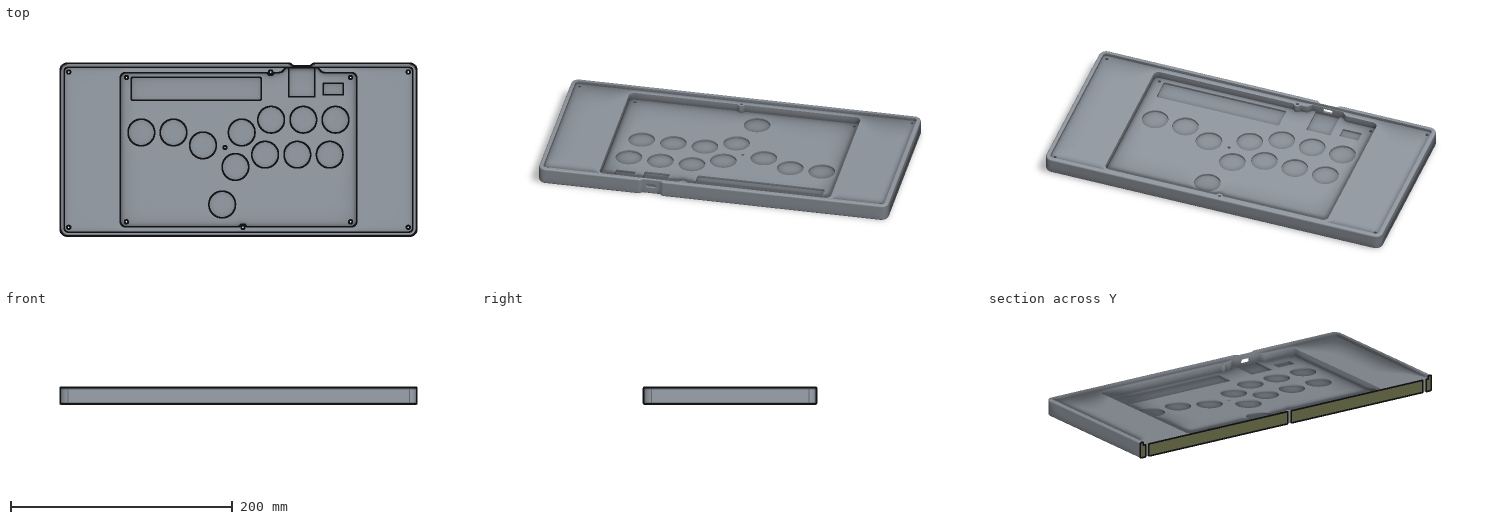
import cadquery as cq
import math

LENGTH = 321.58
WIDTH = 156.0
HEIGHT = 15.1
CORNER_RADIUS = 7.0
EDGE_RADIUS = 1.4

RIM_WIDTH = 3.79
COVER_DEPTH = 3.0
COVER_CORNER_RADIUS = CORNER_RADIUS - RIM_WIDTH

BOARD_LENGTH = 213.0
BOARD_WIDTH = 139.0
BOARD_DEPTH = 7.1
BOARD_CORNER_RADIUS = 5.0

RECESS_DEPTH = 2.0
BUTTON_DIAMETER = 24.0
BUTTON_CENTERS = [
    (-87.6, 15.5),
    (-58.6, 15.5),
    (-32.0, 3.9),
    (-14.7, -49.4),
    (-2.8, -15.6),
    (2.9, 15.5),
    (29.4, 27.0),
    (58.4, 27.0),
    (87.4, 27.0),
    (24.0, -4.5),
    (53.0, -4.5),
    (82.2, -4.5),
]
DISPLAY_SIZE = (117.0, 21.0)
DISPLAY_CENTER = (-38.1, 54.9)
DISPLAY_CORNER_RADIUS = 1.5
SWITCH_SIZE = (18.0, 10.2)
SWITCH_CENTER = (85.5, 54.6)
SWITCH_CORNER_RADIUS = 0.5

CONNECTOR_X = 57.0
CONNECTOR_WALL = 1.3
CONNECTOR_LEDGE = 0.5
BAY_LENGTH = 29.5
BAY_FLARE = 3.5
BAY_CORNER_RADIUS = 5.0
CONNECTOR_RECESS_LENGTH = 23.0
CONNECTOR_RECESS_FRONT_Y = 47.5
NOTCH_OUTER_LENGTH = 22.0
NOTCH_FLARE = 3.5
SLOT_LENGTH = 9.5
SLOT_HEIGHT = 4.0
SLOT_ABOVE_BOARD_FLOOR = 3.3

HOLE_DIAMETER = 3.0
COVER_HOLE_X = 153.0
BOARD_HOLE_X = 101.0
COVER_HOLE_Y = 70.0
BOARD_HOLE_Y = 65.0
CENTER_HOLE = (-12.2, 2.0)
EDGE_HOLES = [(29.0, COVER_HOLE_Y), (4.0, -COVER_HOLE_Y)]
BOSS_RADIUS = 3.0
BOSS_BLEND_RADIUS = 1.5

CORNER_SEARCH_MARGIN = 0.1

SHELF_Z = HEIGHT - COVER_DEPTH
BOARD_FLOOR_Z = SHELF_Z - BOARD_DEPTH
RECESS_FLOOR_Z = BOARD_FLOOR_Z - RECESS_DEPTH
BACK_Y = WIDTH / 2
BOARD_BACK_Y = BOARD_WIDTH / 2
RIM_INNER_Y = BACK_Y - RIM_WIDTH
NOTCH_FLOOR_Y = RIM_INNER_Y + CONNECTOR_WALL
BAY_BACK_Y = RIM_INNER_Y - CONNECTOR_LEDGE


def rounded_block(size, center, bottom_z, top_z, radius):
    """Upright block with rounded vertical edges."""
    return (
        cq.Workplane("XY", origin=(center[0], center[1], bottom_z))
        .rect(size[0], size[1])
        .extrude(top_z - bottom_z)
        .edges("|Z")
        .fillet(radius)
    )


def cylinders(centers, radius, bottom_z, top_z):
    """Upright cylinders of one size at the given centers."""
    return (
        cq.Workplane("XY", origin=(0, 0, bottom_z))
        .pushPoints(centers)
        .circle(radius)
        .extrude(top_z - bottom_z)
    )


def trapezoid(narrow, flare, narrow_y, wide_y, bottom_z, top_z):
    """Upright prism centered on the connector, widening by flare on both sides toward wide_y."""
    half_narrow = narrow / 2
    half_wide = half_narrow + flare
    return (
        cq.Workplane("XY", origin=(CONNECTOR_X, 0, bottom_z))
        .moveTo(-half_narrow, narrow_y)
        .lineTo(half_narrow, narrow_y)
        .lineTo(half_wide, wide_y)
        .lineTo(-half_wide, wide_y)
        .close()
        .extrude(top_z - bottom_z)
    )


def blend_corners(pocket, center_x, wall_y, half_width, radius):
    """Round the two upright pocket edges at center_x +/- half_width on a long pocket wall."""
    near = CORNER_SEARCH_MARGIN
    box = cq.selectors.BoxSelector(
        (center_x - half_width - near, wall_y - near, BOARD_FLOOR_Z),
        (center_x + half_width + near, wall_y + near, SHELF_Z),
    )
    return pocket.edges("|Z").edges(box).fillet(radius)


def body():
    """Outer block with the back notch and rounded top and bottom edges."""
    block = rounded_block((LENGTH, WIDTH), (0, 0), 0, HEIGHT, CORNER_RADIUS)
    notch_floor_length = NOTCH_OUTER_LENGTH - 2 * NOTCH_FLARE
    notch = trapezoid(notch_floor_length, NOTCH_FLARE, NOTCH_FLOOR_Y, BACK_Y, 0, HEIGHT)
    return block.cut(notch).faces("<Z or >Z").fillet(EDGE_RADIUS)


def cover_recess():
    size = (LENGTH - 2 * RIM_WIDTH, WIDTH - 2 * RIM_WIDTH)
    return rounded_block(size, (0, 0), SHELF_Z, HEIGHT, COVER_CORNER_RADIUS)


def board_pocket():
    """Board pocket with a flared bay reaching the back wall, less the two screw bosses."""
    size = (BOARD_LENGTH, BOARD_WIDTH)
    pocket = rounded_block(size, (0, 0), BOARD_FLOOR_Z, SHELF_Z, BOARD_CORNER_RADIUS)
    bay = trapezoid(BAY_LENGTH, BAY_FLARE, BAY_BACK_Y, BOARD_BACK_Y, BOARD_FLOOR_Z, SHELF_Z)
    pocket = pocket.union(bay)
    half_mouth = BAY_LENGTH / 2 + BAY_FLARE
    pocket = blend_corners(pocket, CONNECTOR_X, BOARD_BACK_Y, half_mouth, BAY_CORNER_RADIUS)
    pocket = pocket.cut(cylinders(EDGE_HOLES, BOSS_RADIUS, BOARD_FLOOR_Z, SHELF_Z))
    for x, y in EDGE_HOLES:
        wall_y = math.copysign(BOARD_BACK_Y, y)
        half_chord = math.sqrt(BOSS_RADIUS**2 - (wall_y - y) ** 2)
        pocket = blend_corners(pocket, x, wall_y, half_chord, BOSS_BLEND_RADIUS)
    return pocket


def floor_recesses():
    """Button, display, switch and connector recesses in the pocket floor."""
    connector_width = BAY_BACK_Y - CONNECTOR_RECESS_FRONT_Y
    connector = (
        cq.Workplane("XY", origin=(CONNECTOR_X, BAY_BACK_Y - connector_width / 2, RECESS_FLOOR_Z))
        .rect(CONNECTOR_RECESS_LENGTH, connector_width)
        .extrude(RECESS_DEPTH)
    )
    display = rounded_block(
        DISPLAY_SIZE, DISPLAY_CENTER, RECESS_FLOOR_Z, BOARD_FLOOR_Z, DISPLAY_CORNER_RADIUS
    )
    switch = rounded_block(
        SWITCH_SIZE, SWITCH_CENTER, RECESS_FLOOR_Z, BOARD_FLOOR_Z, SWITCH_CORNER_RADIUS
    )
    buttons = cylinders(BUTTON_CENTERS, BUTTON_DIAMETER / 2, RECESS_FLOOR_Z, BOARD_FLOOR_Z)
    return connector.union(display).union(switch).union(buttons)


def connector_slot():
    """Rounded slot through the thin wall behind the connector."""
    slot_z = BOARD_FLOOR_Z + SLOT_ABOVE_BOARD_FLOOR
    return (
        cq.Workplane("XZ", origin=(CONNECTOR_X, BACK_Y, slot_z))
        .slot2D(SLOT_LENGTH, SLOT_HEIGHT)
        .extrude(BACK_Y - BOARD_BACK_Y)
    )


def screw_holes():
    centers = [CENTER_HOLE] + EDGE_HOLES
    for x, y in [(COVER_HOLE_X, COVER_HOLE_Y), (BOARD_HOLE_X, BOARD_HOLE_Y)]:
        centers += [(x, y), (-x, y), (x, -y), (-x, -y)]
    return cylinders(centers, HOLE_DIAMETER / 2, 0, HEIGHT)


result = (
    body()
    .cut(cover_recess())
    .cut(board_pocket())
    .cut(floor_recesses())
    .cut(connector_slot())
    .cut(screw_holes())
)